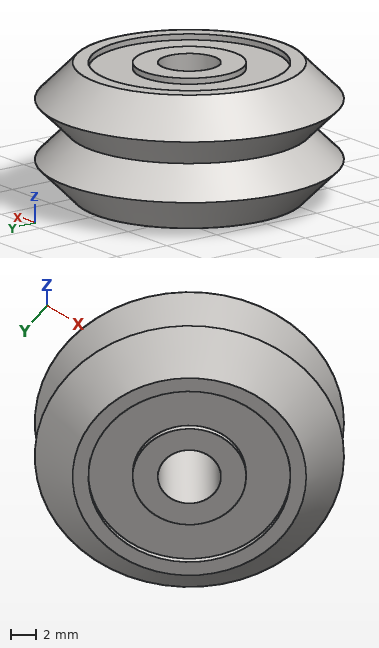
import cadquery as cq

outer_diameter = 24.5
width = 11.0
ridge_spacing = 5.0
recess_diameter = 16.0
hub_diameter = 9.0
bore_diameter = 5.0
recess_depth = 0.5

outer_radius = outer_diameter / 2
half_width = width / 2
ridge_z = ridge_spacing / 2
groove_radius = outer_radius - ridge_z
face_radius = outer_radius - (half_width - ridge_z)


def wheel_body():
    """Solid of revolution with two ridges and a V groove between them."""
    half_profile = [
        (0, -half_width),
        (face_radius, -half_width),
        (outer_radius, -ridge_z),
        (groove_radius, 0),
        (outer_radius, ridge_z),
        (face_radius, half_width),
        (0, half_width),
    ]
    return (
        cq.Workplane("XZ")
        .polyline(half_profile)
        .close()
        .revolve(360, (0, 0, 0), (0, 1, 0))
    )


def face_recess(bottom_z):
    """Shallow ring that leaves the hub flush with the rim."""
    return (
        cq.Workplane("XY", origin=(0, 0, bottom_z))
        .circle(recess_diameter / 2)
        .circle(hub_diameter / 2)
        .extrude(recess_depth)
    )


def bore():
    """Axle hole through the full width."""
    return (
        cq.Workplane("XY", origin=(0, 0, -half_width))
        .circle(bore_diameter / 2)
        .extrude(width)
    )


result = wheel_body().cut(bore())

for recess_bottom_z in (half_width - recess_depth, -half_width):
    result = result.cut(face_recess(recess_bottom_z))